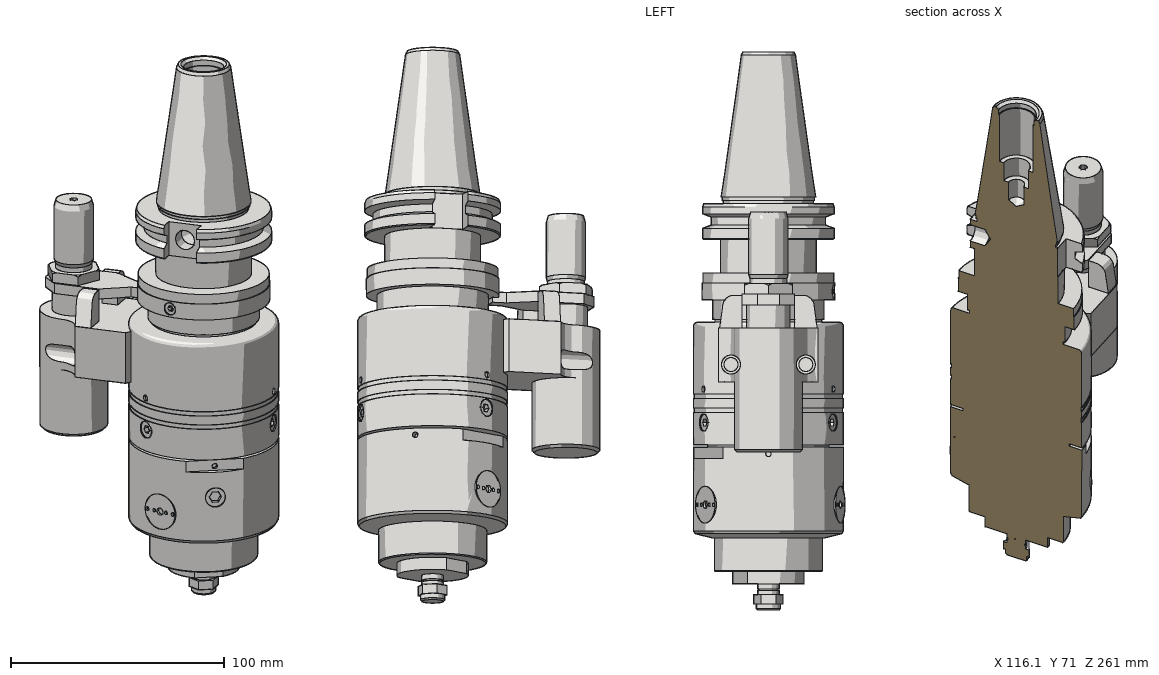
import cadquery as cq
import math

total_height = 261.0
body_radius = 35.1
body_top = 134.5

taper_top_radius = 12.5
taper_base_radius = 22.2
taper_base = 193.0
taper_chamfer = 1.5
relief_radius = 21.7
relief_step = 191.5
relief_lower_radius = 21.1
flange_radius = 31.8
flange_top = 190.0
flange_bottom = 173.2
flange_chamfer = 0.5
flange_top_bevel = 1.5
gripper_groove_radius = 28.0
gripper_groove_middle = 181.8
gripper_groove_mouth = 6.8
gripper_groove_floor = 3.7
neck_radius = 22.5

ring_radius = 31.0
ring_upper_radius = 30.65
ring_top = 157.5
ring_step = 153.0
ring_bottom = 145.0
collar_radius = 26.0
undercut_radius = 25.0
undercut_height = 1.3

body_top_fillet = 2.0
body_groove_depth = 0.4
body_groove_width = 2.0
body_groove_bottoms = (92.4, 99.0)
joint_radius = 28.5
joint_top = 77.2
joint_bottom = 76.2
shoulder_top = 37.0
shoulder_middle = 35.7
shoulder_bottom = 33.7
shoulder_bevel = 0.8

nose_radius = 25.3
nose_bottom = 18.0
nose_chamfer = 0.5
key_disc_radius = 16.7
key_disc_bottom = 12.3
key_flat_distance = 15.25
tip_neck_radius = 5.1
tip_ring_top = 10.0
tip_ring_bottom = 9.1
tip_ring_groove = 0.5
tip_hex_top = 7.3
tip_hex_bottom = 3.0
tip_hex_diameter = 13.8
tip_end_radius = 5.7
tip_end_chamfer = 0.8

bore_chamfer = 1.3
bore_steps = ((9.5, 4.0), (9.0, 31.3), (6.5, 41.7), (4.0, 52.2))
drill_point_half_angle = 59.0

keyway_width = 16.2
keyway_floor_front = 24.5
keyway_floor_back = 22.2
keyway_hole_diameter = 9.5
keyway_hole_depth = 7.8

front_angle = -60.0
screw_angles = (0.0, 120.0, 240.0)
set_screw_height = 87.7
set_screw_diameter = 8.0
set_screw_socket = 4.0
screw_sink = 0.8
screw_socket_depth = 3.1
dot_height = 103.3
dot_diameter = 3.0
dot_depth = 1.0
pin_hole_turn = 60.0
pin_hole_height = 73.0
pin_hole_diameter = 2.5
pin_hole_depth = 4.7
mark_flat_distance = 32.4
mark_flat_height = 5.2
coolant_screw_height = 58.5
coolant_screw_diameter = 9.5
coolant_screw_socket = 5.7
plug_angles = (-105.0, 122.0)
plug_height = 49.3
plug_diameter = 17.2
plug_face_distance = 34.83
plug_length = 6.5
plug_holes = ((0, 3.5), (3.5, 1.6), (-3.5, 1.6), (7.3, 1.72), (-7.3, 1.72))
plug_hole_depth = 1.3
ring_screw_angle = -100.0
ring_screw_height = 149.0
ring_screw_diameter = 6.0
ring_screw_socket = 3.0

arm_x = -65.0
arm_radius = 16.0
arm_top = 131.8
arm_bottom = 73.8
arm_chamfer = 1.3
block_front_x = -55.5
block_half_width = 23.2
block_bottom = 106.7
block_bevel_x = -30.3
block_bevel_end = (-28.5, 20.4)
arm_screw_y = 17.5
arm_screw_height = 114.8
arm_screw_diameter = 9.0
arm_screw_head_depth = 7.8
arm_screw_hole_diameter = 6.5
arm_screw_hole_depth = 15.7

lug_thickness = 7.8
lug_top = 147.1
lug_base_y = 22.83
lug_shoulder_y = 21.5
lug_shoulder_height = 142.0
lug_crown_y = 16.2

plate_half_width = 12.3
plate_bottom = 142.7
plate_top = 147.7
plate_taper_start = -47.7
plate_taper_end = -34.7
plate_end = -28.0
tongue_half_width = 4.3
boss_radius = 10.2
nut_diameter = 25.8
nut_top = 152.5
nut_corner_radius = 12.0
nut_bevel = 0.8
pin_radius = 9.25
pin_top = 186.0
pin_chamfer_radius = 0.91
pin_chamfer_height = 3.1
pin_groove_radius = 8.5
pin_groove_top = 156.8
pin_groove_taper = 1.8
pin_socket = 4.0
pin_socket_depth = 4.0

cutter_clearance = 2.5


def turned(profile):
    """Solid of revolution about Z from (radius, height) points; the axis closes the outline."""
    top = profile[0][1]
    bottom = profile[-1][1]
    points = [(0, top)] + list(profile) + [(0, bottom)]
    return cq.Workplane("XZ").polyline(points).close().revolve(360, (0, 0), (0, 1))


def disc(radius, bottom, top, x=0.0):
    return cq.Workplane("XY", origin=(x, 0, bottom)).circle(radius).extrude(top - bottom)


def radial_plane(angle, distance, height):
    """Plane facing away from the spindle axis at the given angle about Z."""
    direction = (math.cos(math.radians(angle)), math.sin(math.radians(angle)), 0)
    tangent = (-direction[1], direction[0], 0)
    origin = (distance * direction[0], distance * direction[1], height)
    return cq.Workplane(cq.Plane(origin, tangent, direction))


def radial_hole(angle, radius, height, diameter, depth):
    """Cutter for a radial hole that sinks by depth below a cylinder of this radius."""
    plane = radial_plane(angle, radius + cutter_clearance, height)
    return plane.circle(diameter / 2).extrude(-(depth + cutter_clearance))


def radial_screw(angle, radius, height, diameter, socket):
    """Cutter for a sunk screw head with a hexagon socket."""
    head = radial_hole(angle, radius, height, diameter, screw_sink)
    socket_plane = radial_plane(angle, radius, height)
    return head.union(socket_plane.polygon(6, socket).extrude(-screw_socket_depth))


def flat_cutter(angle, distance, bottom, top):
    """Cutter that leaves a flat at this distance from the spindle axis."""
    reach = 2 * body_radius
    plane = radial_plane(angle, distance, (bottom + top) / 2)
    return plane.rect(reach, top - bottom).extrude(reach)


def make_spindle():
    chamfer_slope = (taper_base_radius - taper_top_radius) / (total_height - taper_base)
    chamfer_radius = taper_top_radius + chamfer_slope * taper_chamfer
    groove_mouth = gripper_groove_mouth / 2
    groove_floor = gripper_groove_floor / 2
    flange_edge = flange_radius - flange_chamfer
    shank = turned([
        (chamfer_radius - taper_chamfer / 2, total_height),
        (chamfer_radius, total_height - taper_chamfer),
        (taper_base_radius, taper_base),
        (relief_radius, taper_base),
        (relief_radius, relief_step),
        (relief_lower_radius, relief_step),
        (relief_lower_radius, flange_top),
        (flange_edge, flange_top),
        (flange_radius, flange_top - flange_top_bevel),
        (flange_radius, gripper_groove_middle + groove_mouth),
        (gripper_groove_radius, gripper_groove_middle + groove_floor),
        (gripper_groove_radius, gripper_groove_middle - groove_floor),
        (flange_radius, gripper_groove_middle - groove_mouth),
        (flange_radius, flange_bottom + flange_chamfer),
        (flange_edge, flange_bottom),
        (neck_radius, flange_bottom),
        (neck_radius, ring_top),
        (ring_upper_radius, ring_top),
        (ring_upper_radius, ring_step),
        (ring_radius, ring_step),
        (ring_radius, ring_bottom),
        (collar_radius, ring_bottom),
        (collar_radius, body_top + undercut_height),
        (undercut_radius, body_top + undercut_height),
        (undercut_radius, body_top),
    ])
    upper_body = disc(body_radius, joint_top, body_top).faces(">Z").edges().fillet(body_top_fillet)
    lower_body = turned([
        (joint_radius, joint_top),
        (joint_radius, joint_bottom),
        (body_radius, joint_bottom),
        (body_radius, shoulder_top),
        (body_radius - shoulder_bevel, shoulder_middle),
        (collar_radius, shoulder_bottom),
        (nose_radius, shoulder_bottom),
        (nose_radius, nose_bottom + nose_chamfer),
        (nose_radius - nose_chamfer, nose_bottom),
    ])
    spindle = shank.union(upper_body).union(lower_body)
    for bottom in body_groove_bottoms:
        groove = disc(2 * body_radius, bottom, bottom + body_groove_width)
        core = disc(body_radius - body_groove_depth, bottom, bottom + body_groove_width)
        spindle = spindle.cut(groove.cut(core))
    return spindle


def make_nose_tip():
    key_disc = disc(key_disc_radius, key_disc_bottom, nose_bottom)
    for angle in (front_angle, front_angle + 180):
        key_disc = key_disc.cut(flat_cutter(angle, key_flat_distance, key_disc_bottom, nose_bottom))
    stem = turned([
        (tip_neck_radius, key_disc_bottom),
        (tip_neck_radius, tip_ring_top),
        (tip_neck_radius - tip_ring_groove, tip_ring_top),
        (tip_neck_radius - tip_ring_groove, tip_ring_bottom),
        (tip_neck_radius, tip_ring_bottom),
        (tip_neck_radius, tip_hex_top),
        (tip_end_radius, tip_hex_top),
        (tip_end_radius, tip_end_chamfer),
        (tip_end_radius - tip_end_chamfer, 0),
    ])
    hexagon = cq.Workplane("XY", origin=(0, 0, tip_hex_bottom)).transformed(rotate=(0, 0, 90))
    hexagon = hexagon.polygon(6, tip_hex_diameter).extrude(tip_hex_top - tip_hex_bottom)
    return key_disc.union(stem).union(hexagon)


def taper_bore():
    mouth_radius = bore_steps[0][0]
    profile = [(mouth_radius + bore_chamfer, total_height)]
    floor = total_height - bore_chamfer
    for radius, depth in bore_steps:
        profile.append((radius, floor))
        floor = total_height - depth
        profile.append((radius, floor))
    point_length = bore_steps[-1][0] / math.tan(math.radians(drill_point_half_angle))
    profile.append((0, floor - point_length))
    points = [(0, total_height)] + profile
    return cq.Workplane("XZ").polyline(points).close().revolve(360, (0, 0), (0, 1))


def keyway_cutters():
    height = flange_top - flange_bottom
    middle = (flange_top + flange_bottom) / 2
    front = radial_plane(-90, keyway_floor_front, middle).rect(keyway_width, height).extrude(flange_radius)
    back = radial_plane(90, keyway_floor_back, middle).rect(keyway_width, height).extrude(flange_radius)
    hole_radius = keyway_hole_diameter / 2
    point_length = hole_radius / math.tan(math.radians(drill_point_half_angle))
    hole_floor = keyway_hole_depth - keyway_floor_front
    hole = (
        cq.Workplane("XY", origin=(0, 0, gripper_groove_middle))
        .moveTo(0, -keyway_floor_front)
        .lineTo(hole_radius, -keyway_floor_front)
        .lineTo(hole_radius, hole_floor)
        .lineTo(0, hole_floor + point_length)
        .close()
        .revolve(360, (0, 0), (0, 1))
    )
    return [front, back, hole]


def body_cutters():
    cutters = []
    for angle in screw_angles:
        cutters.append(
            radial_screw(angle, body_radius, set_screw_height, set_screw_diameter, set_screw_socket)
        )
        cutters.append(radial_hole(angle, body_radius, dot_height, dot_diameter, dot_depth))
        pin_angle = angle + pin_hole_turn
        cutters.append(
            radial_hole(pin_angle, body_radius, pin_hole_height, pin_hole_diameter, pin_hole_depth)
        )
    for angle in (front_angle, front_angle + 180):
        flat_bottom = joint_bottom - mark_flat_height
        cutters.append(flat_cutter(angle, mark_flat_distance, flat_bottom, joint_bottom))
    cutters.append(
        radial_screw(
            front_angle, body_radius, coolant_screw_height, coolant_screw_diameter, coolant_screw_socket
        )
    )
    cutters.append(
        radial_screw(
            ring_screw_angle, ring_radius, ring_screw_height, ring_screw_diameter, ring_screw_socket
        )
    )
    return cutters


def make_plug(angle):
    plane = radial_plane(angle, plug_face_distance, plug_height)
    plug = plane.circle(plug_diameter / 2).extrude(-plug_length)
    for offset, diameter in plug_holes:
        plug = plug.cut(plane.center(offset, 0).circle(diameter / 2).extrude(-plug_hole_depth))
    return plug


def make_arm():
    barrel = disc(arm_radius, arm_bottom, arm_top, arm_x).faces("<Z").edges().chamfer(arm_chamfer)
    run = block_front_x - arm_x
    rise = block_half_width - arm_radius
    blend_radius = (run**2 + rise**2) / (2 * rise)
    half_sweep = math.asin(run / blend_radius) / 2
    middle_x = arm_x + blend_radius * math.sin(half_sweep)
    middle_y = arm_radius + blend_radius * (1 - math.cos(half_sweep))
    bevel_x, bevel_y = block_bevel_end
    block = (
        cq.Workplane("XY", origin=(0, 0, block_bottom))
        .moveTo(arm_x, arm_radius)
        .threePointArc((middle_x, middle_y), (block_front_x, block_half_width))
        .lineTo(block_bevel_x, block_half_width)
        .lineTo(bevel_x, bevel_y)
        .lineTo(bevel_x, -bevel_y)
        .lineTo(block_bevel_x, -block_half_width)
        .lineTo(block_front_x, -block_half_width)
        .threePointArc((middle_x, -middle_y), (arm_x, -arm_radius))
        .close()
        .extrude(arm_top - block_bottom)
    )
    root = cq.Workplane("XY", origin=(0, 0, block_bottom)).center(bevel_x / 2, 0)
    root = root.rect(-bevel_x, 2 * bevel_y).extrude(arm_top - block_bottom)
    arm = barrel.union(block).union(root)
    for side in (1, -1):
        mouth = cq.Workplane("YZ", origin=(arm_x - arm_radius, side * arm_screw_y, arm_screw_height))
        run_to_block = block_front_x - arm_x + arm_radius
        counterbore = mouth.circle(arm_screw_diameter / 2).extrude(run_to_block + arm_screw_head_depth)
        hole = mouth.circle(arm_screw_hole_diameter / 2).extrude(run_to_block + arm_screw_hole_depth)
        arm = arm.cut(counterbore).cut(hole)
    return arm


def make_lug(side):
    crown_run = lug_shoulder_y - lug_crown_y
    crown_rise = lug_top - lug_shoulder_height
    crown_middle = (
        lug_crown_y + crown_run * math.sin(math.pi / 4),
        lug_shoulder_height + crown_rise * math.cos(math.pi / 4),
    )
    lug = (
        cq.Workplane("YZ", origin=(block_front_x, 0, 0))
        .moveTo(plate_half_width, arm_top)
        .lineTo(lug_base_y, arm_top)
        .lineTo(lug_shoulder_y, lug_shoulder_height)
        .threePointArc(crown_middle, (lug_crown_y, lug_top))
        .lineTo(plate_half_width, lug_top)
        .close()
        .extrude(lug_thickness)
    )
    return lug if side > 0 else lug.mirror("XZ")


def make_key_plate():
    corner = plate_half_width * math.tan(math.pi / 8)
    side = [
        (arm_x - plate_half_width, corner),
        (arm_x - corner, plate_half_width),
        (plate_taper_start, plate_half_width),
        (plate_taper_end, tongue_half_width),
        (plate_end, tongue_half_width),
    ]
    other_side = [(x, -y) for x, y in reversed(side)]
    plate = cq.Workplane("XY", origin=(0, 0, plate_bottom)).polyline(side + other_side).close()
    return plate.extrude(plate_top - plate_bottom)


def make_locking_pin():
    boss = disc(boss_radius, arm_top, plate_bottom, arm_x)
    nut = cq.Workplane("XY", origin=(arm_x, 0, plate_top)).polygon(6, nut_diameter)
    nut = nut.extrude(nut_top - plate_top)
    nut_envelope = turned([
        (nut_corner_radius, nut_top),
        (nut_diameter / 2, nut_top - nut_bevel),
        (nut_diameter / 2, plate_top),
    ]).translate((arm_x, 0, 0))
    pin = turned([
        (pin_radius - pin_chamfer_radius, pin_top),
        (pin_radius, pin_top - pin_chamfer_height),
        (pin_radius, pin_groove_top),
        (pin_groove_radius, pin_groove_top - pin_groove_taper),
        (pin_groove_radius, plate_top),
    ]).translate((arm_x, 0, 0))
    socket = cq.Workplane("XY", origin=(arm_x, 0, pin_top)).polygon(6, pin_socket)
    pin = pin.cut(socket.extrude(-pin_socket_depth))
    return boss.union(nut.intersect(nut_envelope)).union(pin)


result = make_spindle().union(make_nose_tip()).union(make_arm())
for cutter in [taper_bore()] + keyway_cutters() + body_cutters():
    result = result.cut(cutter)
for plug_angle in plug_angles:
    result = result.cut(
        radial_hole(plug_angle, plug_face_distance, plug_height, plug_diameter, plug_hole_depth)
    )
    result = result.union(make_plug(plug_angle))
for lug_side in (1, -1):
    result = result.union(make_lug(lug_side))
result = result.union(make_key_plate()).union(make_locking_pin())